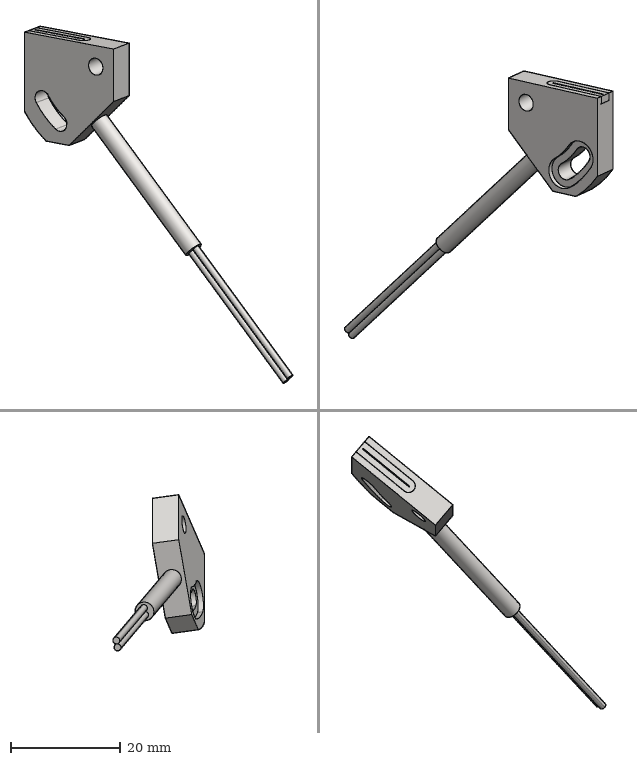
import cadquery as cq
import math

housing_size = 20.0
housing_thickness = 5.0
corner_cut = 10.0

pivot_x = 16.0
pivot_z = -4.0
hole_diameter = 3.2
slot_width = 3.2
slot_radius = 14.5
slot_half_angle = 11.0
slot_mid_angle = 225.0
corner_radius = 19.5

counterbore_width = 6.0
counterbore_depth = 1.0

recess_width = 2.5
recess_length = 12.75
recess_depth = 1.45
window_clearance = 0.03

slit_start = 0.6
slit_end = 11.7
slit_width = 0.15
slit_depth = 0.2

cable_diameter = 3.5
cable_length = 30.0
wire_diameter = 1.3
wire_length = 30.0
wire_spacing = wire_diameter


def pivot_point(radius, angle):
    """Point at a radius and an angle in degrees around the pivot."""
    turn = math.radians(angle)
    return (pivot_x + radius * math.cos(turn), pivot_z + radius * math.sin(turn))


def full_thickness(sketch):
    """Extrude a profile drawn in the XZ plane through the full thickness."""
    return sketch.extrude(housing_thickness / 2, both=True)


def make_plate():
    left_drop = math.sqrt(corner_radius**2 - pivot_x**2)
    bottom_run = math.sqrt(corner_radius**2 - (housing_size + pivot_z) ** 2)
    outline = (
        cq.Workplane("XZ")
        .lineTo(housing_size, 0)
        .lineTo(housing_size, corner_cut - housing_size)
        .lineTo(housing_size - corner_cut, -housing_size)
        .lineTo(pivot_x - bottom_run, -housing_size)
        .threePointArc(pivot_point(corner_radius, slot_mid_angle), (0, pivot_z - left_drop))
        .close()
    )
    return full_thickness(outline)


def make_pivot_hole():
    return full_thickness(cq.Workplane("XZ").center(pivot_x, pivot_z).circle(hole_diameter / 2))


def make_arc_slot(width):
    """Round-ended slot of a given width, bent along an arc around the pivot."""
    inner = slot_radius - width / 2
    outer = slot_radius + width / 2
    first = slot_mid_angle - slot_half_angle
    last = slot_mid_angle + slot_half_angle
    outline = (
        cq.Workplane("XZ")
        .moveTo(*pivot_point(inner, first))
        .threePointArc(pivot_point(inner, slot_mid_angle), pivot_point(inner, last))
        .tangentArcPoint(pivot_point(outer, last), relative=False)
        .threePointArc(pivot_point(outer, slot_mid_angle), pivot_point(outer, first))
        .tangentArcPoint(pivot_point(inner, first), relative=False)
        .close()
    )
    return full_thickness(outline)


def make_slot_counterbore():
    """Wider, shallow step of the arc slot for a screw head, sunk into the back (+Y) face."""
    shift = housing_thickness - counterbore_depth
    return make_arc_slot(counterbore_width).translate((0, shift, 0))


def make_tongue(clearance):
    """Round-ended tongue of the window recess, its side and end walls drawn in by a clearance."""
    half_width = recess_width / 2 - clearance
    straight = recess_length - recess_width / 2
    return (
        cq.Workplane("XY")
        .moveTo(0, -half_width)
        .lineTo(straight, -half_width)
        .threePointArc((straight + half_width, 0), (straight, half_width))
        .lineTo(0, half_width)
        .close()
        .extrude(-recess_depth)
    )


def make_slit():
    return (
        cq.Workplane("XY")
        .center((slit_start + slit_end) / 2, 0)
        .rect(slit_end - slit_start, slit_width)
        .extrude(-slit_depth)
    )


def make_cable():
    """Cable with its two wires side by side, touching each other."""
    exit_offset = housing_size - corner_cut / 2
    exit_plane = cq.Plane(origin=(exit_offset, 0, -exit_offset), xDir=(1, 0, 1), normal=(1, 0, -1))
    cable = cq.Workplane(exit_plane).circle(cable_diameter / 2).extrude(cable_length)
    for side in (-1, 1):
        wire = (
            cq.Workplane(exit_plane)
            .workplane(offset=cable_length)
            .center(side * wire_spacing / 2, 0)
            .circle(wire_diameter / 2)
            .extrude(wire_length)
        )
        cable = cable.union(wire)
    return cable


housing = (
    make_plate()
    .cut(make_pivot_hole())
    .cut(make_arc_slot(slot_width))
    .cut(make_slot_counterbore())
    .cut(make_tongue(0))
    .union(make_cable())
)
window = make_tongue(window_clearance).cut(make_slit())

result = cq.Compound.makeCompound([housing.val(), window.val()])